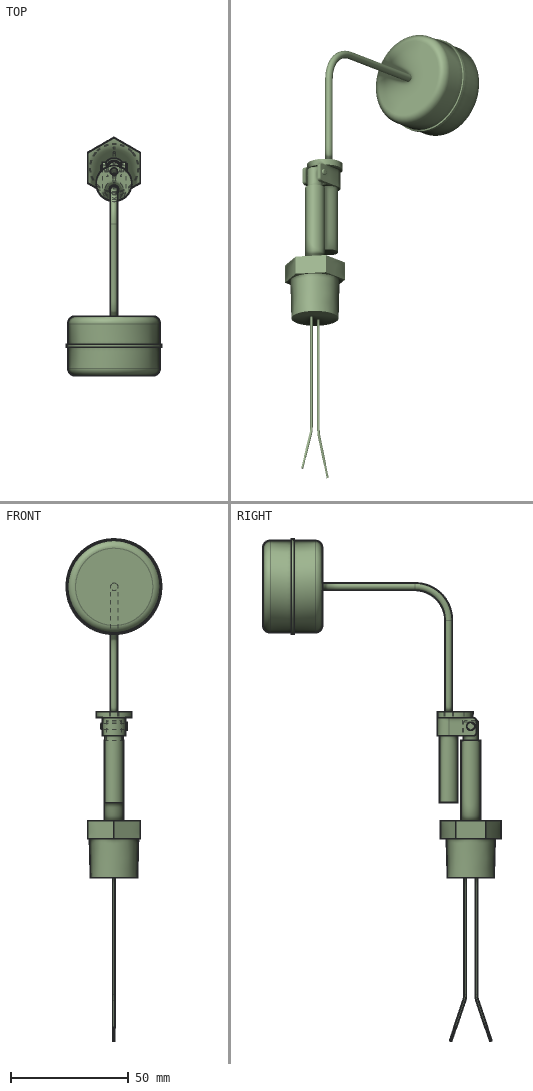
import cadquery as cq
import math


hex_across_flats = 22.5
hex_height = 7.7
hex_half_angle = 30
thread_length = 16.7
thread_top_radius = 10.5
thread_end_radius = 10.0
stem_radius = 4.18
stem_top = 42.0
post_radius = 3.2
post_top = 50.5
post_chamfer = 0.6

strap_bottom = 43.9
strap_height = 7.7
strap_width = 9.8
strap_back = 2.4
strap_corner_radius = 1.3
cap_radius = 7.6
cap_height = 2.5
cap_y = -6.6
cap_hole_diameter = 3.0
cap_hole_y = -1.5
slot_end_y = -3.6
strap_top = strap_bottom + strap_height
cap_top = strap_top + cap_height

arm_y = -9.5
tube_radius = 3.96
tube_bottom = 15.5

pin_z = 48.0
pin_radius = 1.3
pin_end_projection = 0.6
pin_end_fillet = 0.54
pin_head_radius = 1.7
pin_head_thickness = 0.6

rod_radius = 1.6
rod_bend_radius = 14.3
rod_hole_radius = 2.03
float_z = 107.5
float_back_y = -63.2
float_length = 25.5
float_radius = 19.7
float_edge_fillet = 3.2
rib_radius = 20.3
rib_width = 1.3

wire_radius = 0.54
conductor_radius = 0.5
wire_y = 2.4
wire_bend_z = -66.4
wire_bend_radius = 8.1
wire_splay_angle = 18.6
sleeve_slant_length = 12.2
conductor_length = 6.0


def cylinder_up(radius, bottom, top, y=0):
    """An upright cylinder."""
    return cq.Workplane("XY", origin=(0, y, bottom)).circle(radius).extrude(top - bottom)


def cylinder_along_x(radius, start_x, end_x):
    """A cylinder on the hinge axis."""
    return cq.Workplane("YZ", origin=(start_x, 0, pin_z)).circle(radius).extrude(end_x - start_x)


def cylinder_to_front(radius, back_y, length):
    """A cylinder on the float axis, from back_y towards -Y."""
    return cq.Workplane("XZ", origin=(0, back_y, float_z)).circle(radius).extrude(length)


def make_plug():
    """Hexagon, tapered thread, stem and the round post of the hinge."""
    corner_diameter = hex_across_flats / math.cos(math.radians(hex_half_angle))
    hexagon = cq.Workplane("XY").polygon(6, corner_diameter).extrude(hex_height)
    hexagon = hexagon.rotate((0, 0, 0), (0, 0, 1), hex_half_angle)
    thread = (
        cq.Workplane("XY", origin=(0, 0, -thread_length))
        .circle(thread_end_radius)
        .workplane(offset=thread_length)
        .circle(thread_top_radius)
        .loft()
    )
    post = cylinder_up(post_radius, stem_top, post_top).faces(">Z").edges().chamfer(post_chamfer)
    stem = cylinder_up(stem_radius, hex_height, stem_top)
    pin_hole = cylinder_along_x(pin_radius, -strap_width, strap_width)
    return hexagon.union(thread).union(stem).union(post).cut(pin_hole)


def make_yoke():
    """Round cap on a round-ended strap, slotted for the post and bored for the pin and the rod."""
    half_width = strap_width / 2
    strap = (
        cq.Workplane("XY", origin=(0, 0, strap_bottom))
        .moveTo(-half_width, strap_back)
        .lineTo(half_width, strap_back)
        .lineTo(half_width, arm_y)
        .threePointArc((0, arm_y - half_width), (-half_width, arm_y))
        .close()
        .extrude(strap_height)
        .faces(">Y")
        .edges("|X")
        .fillet(strap_corner_radius)
    )
    cap = cylinder_up(cap_radius, strap_top, cap_top, cap_y)
    slot_length = strap_back - slot_end_y
    slot = (
        cq.Workplane("XY", origin=(0, slot_end_y + slot_length / 2, strap_bottom))
        .rect(2 * post_radius, slot_length)
        .extrude(strap_height)
    )
    cap_hole = cylinder_up(cap_hole_diameter / 2, strap_top, cap_top, cap_hole_y)
    rod_hole = cylinder_up(rod_hole_radius, strap_top, cap_top, arm_y)
    pin_hole = cylinder_along_x(pin_radius, -strap_width, strap_width)
    cap = cap.cut(cap_hole).cut(rod_hole)
    return strap.cut(slot).union(cap).cut(pin_hole)


def make_tube():
    return cylinder_up(tube_radius, tube_bottom, strap_bottom, arm_y)


def make_pin():
    head_x = strap_width / 2
    shank = cylinder_along_x(pin_radius, -head_x - pin_end_projection, head_x)
    shank = shank.faces("<X").edges().fillet(pin_end_fillet)
    head = cylinder_along_x(pin_head_radius, head_x, head_x + pin_head_thickness)
    return shank.union(head)


def make_rod():
    """Upright from its hole in the cap, a quarter bend, and a level run to the float."""
    bend_bottom = float_z - rod_bend_radius
    bend_end_y = arm_y - rod_bend_radius
    upright = cylinder_up(rod_radius, strap_top, bend_bottom, arm_y)
    bend = (
        cq.Workplane("XY", origin=(0, arm_y, bend_bottom))
        .circle(rod_radius)
        .revolve(90, (0, -rod_bend_radius, 0), (1, -rod_bend_radius, 0))
    )
    level_length = bend_end_y - float_back_y
    level_run = cylinder_to_front(rod_radius, bend_end_y, level_length)
    return upright.union(bend).union(level_run)


def make_float():
    """Drum with rounded rims and a narrow rib around its middle."""
    drum = cylinder_to_front(float_radius, float_back_y, float_length).edges().fillet(float_edge_fillet)
    rib_back_y = float_back_y - (float_length - rib_width) / 2
    rib = cylinder_to_front(rib_radius, rib_back_y, rib_width)
    return drum.union(rib)


def make_wire(side):
    """Wire hanging from the plug and splayed outwards, with a thinner bare end; side is +1 or -1."""
    angle = math.radians(wire_splay_angle)
    slant = cq.Vector(0, side * math.sin(angle), -math.cos(angle))
    start = cq.Vector(0, side * wire_y, -thread_length)
    bend_start = cq.Vector(0, side * wire_y, wire_bend_z)
    bend_centre = bend_start + cq.Vector(0, side * wire_bend_radius, 0)

    def on_bend(turn):
        return bend_centre + cq.Vector(0, -side * math.cos(turn), -math.sin(turn)) * wire_bend_radius

    bend_end = on_bend(angle)
    sleeve_end = bend_end + slant * sleeve_slant_length
    path = cq.Wire.assembleEdges(
        [
            cq.Edge.makeLine(start, bend_start),
            cq.Edge.makeThreePointArc(bend_start, on_bend(angle / 2), bend_end),
            cq.Edge.makeLine(bend_end, sleeve_end),
        ]
    )
    sleeve = cq.Workplane("XY", origin=start.toTuple()).circle(wire_radius).sweep(cq.Workplane(path))
    conductor = cq.Solid.makeCylinder(conductor_radius, conductor_length, sleeve_end, slant)
    return sleeve.union(cq.Workplane(conductor))


plug = make_plug()
yoke = make_yoke()
tube = make_tube()
pin = make_pin()
rod = make_rod()
float_drum = make_float()
wires = [make_wire(side) for side in (1, -1)]

result = cq.Compound.makeCompound(
    [
        plug.val(),
        yoke.val(),
        tube.val(),
        pin.val(),
        rod.val(),
        float_drum.val(),
        *[wire.val() for wire in wires],
    ]
)